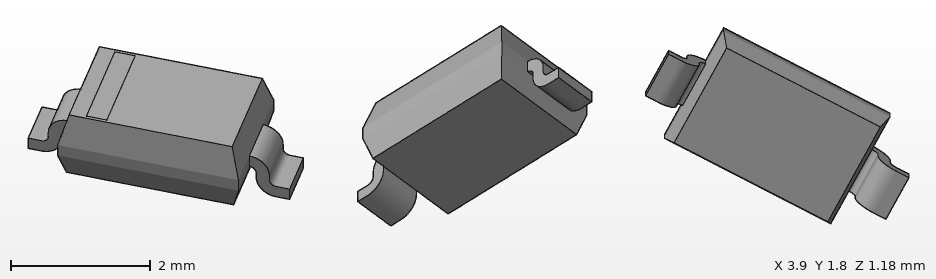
import cadquery as cq
import math

total_length = 3.9
total_height = 1.18

housing_length = 2.7
housing_width = 1.8
standoff = 0.1
draft_angle = 15.0
upper_height = 0.5

lead_thickness = 0.2
lead_width = 0.702
inner_radius = 0.1
outer_radius = inner_radius + lead_thickness

band_length = 0.305
band_width = 1.443
band_depth = 0.02
band_center_x = -0.82

belt_top = total_height - upper_height
belt_bottom = belt_top - lead_thickness
lower_height = belt_bottom - standoff


def make_band():
    return (
        cq.Workplane("XY", origin=(band_center_x, 0, total_height - band_depth))
        .rect(band_length, band_width)
        .extrude(band_depth)
    )


def tapered_block(base_level, height):
    """Frustum that narrows away from the belt; a negative height goes downward."""
    inset = abs(height) * math.tan(math.radians(draft_angle))
    return (
        cq.Workplane("XY", origin=(0, 0, base_level))
        .rect(housing_length, housing_width)
        .workplane(offset=height)
        .rect(housing_length - 2 * inset, housing_width - 2 * inset)
        .loft(ruled=True)
    )


def make_housing(band):
    belt = (
        cq.Workplane("XY", origin=(0, 0, belt_bottom))
        .rect(housing_length, housing_width)
        .extrude(lead_thickness)
    )
    upper = tapered_block(belt_top, upper_height)
    lower = tapered_block(belt_bottom, -lower_height)
    return belt.union(upper).union(lower).cut(band)


def make_lead(side):
    """Gull-wing lead on the +X side (side = 1) or the -X side (side = -1)."""
    root_x = housing_length / 2
    foot_end_x = total_length / 2
    upper_bend_z = belt_top - outer_radius
    lower_bend_x = root_x + inner_radius + outer_radius
    lower_bend_z = outer_radius
    diagonal = math.sqrt(0.5)

    def upper_bend(radius):
        return side * (root_x + radius * diagonal), upper_bend_z + radius * diagonal

    def lower_bend(radius):
        return side * (lower_bend_x - radius * diagonal), lower_bend_z - radius * diagonal

    profile = (
        cq.Workplane("XZ")
        .moveTo(side * root_x, belt_top)
        .threePointArc(upper_bend(outer_radius), (side * (root_x + outer_radius), upper_bend_z))
        .lineTo(side * (root_x + outer_radius), lower_bend_z)
        .threePointArc(lower_bend(inner_radius), (side * lower_bend_x, lead_thickness))
        .lineTo(side * foot_end_x, lead_thickness)
        .lineTo(side * foot_end_x, 0)
        .lineTo(side * lower_bend_x, 0)
        .threePointArc(lower_bend(outer_radius), (side * (root_x + inner_radius), lower_bend_z))
        .lineTo(side * (root_x + inner_radius), upper_bend_z)
        .threePointArc(upper_bend(inner_radius), (side * root_x, belt_bottom))
        .close()
    )
    return profile.extrude(lead_width / 2, both=True)


band = make_band()
housing = make_housing(band)
leads = [make_lead(side) for side in (-1, 1)]

result = cq.Compound.makeCompound([housing.val(), band.val(), *[lead.val() for lead in leads]])